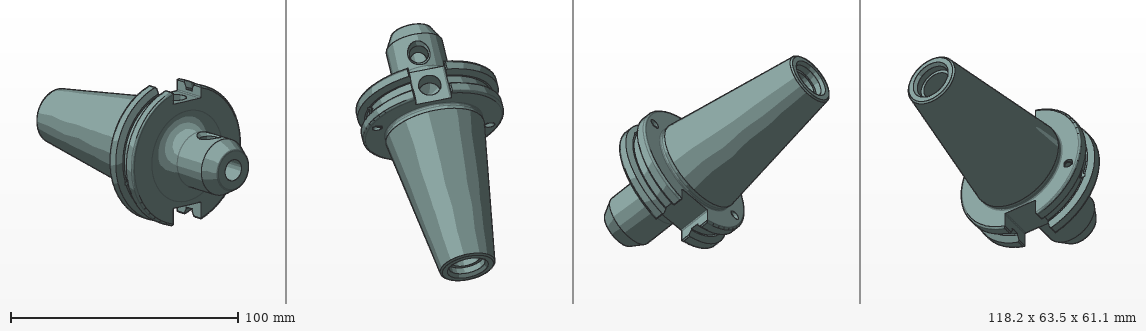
import cadquery as cq
import math

TAPER_LENGTH = 68.2
NECK_START = 70.0
FLANGE_START = 71.3
FLANGE_END = 87.3
NOSE_START = 111.4
TOTAL_LENGTH = 118.2

TAPER_RADIUS = 22.2
TAPER_SLOPE = 7 / 48
NECK_RADIUS = 43.6 / 2
NECK_FILLET = 0.4
FLANGE_RADIUS = 63.5 / 2
FLANGE_ROUND = 1.0
SHANK_RADIUS = 25.4 / 2
SHANK_FILLET = 7.9
NOSE_TIP_RADIUS = 9.1
NOSE_ROUND = 0.6
SMALL_END_CHAMFER = 0.7

GROOVE_CENTER = 79.3
GROOVE_FLOOR_WIDTH = 3.9
GROOVE_TOP_WIDTH = 7.1
GROOVE_RADIUS = 28.1
GROOVE_FLANK_ANGLE = 30

SLOT_WIDTH = 16.1
SLOT_FLOOR_TOP = 25.1
SLOT_FLOOR_BOTTOM = 22.6
SLOT_CORNER_ROUND = 0.5
SLOT_RIM_FLARE = 0.6

POCKET_DIAMETER = 9.8
POCKET_DEPTH = 7.7
DRILL_POINT_HALF_ANGLE = 59

MOUTH_RADIUS = 18.5 / 2
MOUTH_DEPTH = 1.7
COUNTERBORE_RADIUS = 16.3 / 2
COUNTERBORE_DEPTH = 4.6
THREAD_BORE_RADIUS = 13.4 / 2
THREAD_BORE_DEPTH = 35.5
THROUGH_RADIUS = 9.6 / 2

SCREW_X = 102.0
SCREW_DIAMETER = 8.4
SCREW_MOUTH_DIAMETER = 11.8

DUCT_TURN = 20
DUCT_RADIUS_AT_FACE = 27.0
DUCT_TILT = 30
DUCT_DIAMETER = 3.2
DUCT_MOUTH_DIAMETER = 4.0
DUCT_MOUTH_DEPTH = 1.9
CROSS_MOUTH_DIAMETER = 4.3
CROSS_MOUTH_DEPTH = 1.0
CROSS_HOLE_DIAMETER = 3.2


def rod(start, direction, length, diameter):
    """Cylinder running from a start point along a direction."""
    cylinder = cq.Solid.makeCylinder(diameter / 2, length, cq.Vector(*start), cq.Vector(*direction))
    return cq.Workplane(obj=cylinder)


def revolve_about_x(profile):
    """Close an XY profile and spin it once around the X axis."""
    return profile.close().revolve(360, (0, 0, 0), (1, 0, 0))


def drill_point_length(radius):
    """Axial length of a drilled cone over a radius step."""
    return radius / math.tan(math.radians(DRILL_POINT_HALF_ANGLE))


def taper_and_shank():
    small_end_radius = TAPER_RADIUS - TAPER_SLOPE * TAPER_LENGTH
    arc_inset = 1 - math.sqrt(0.5)
    neck_inset = NECK_FILLET * arc_inset
    shank_inset = SHANK_FILLET * arc_inset
    profile = (
        cq.Workplane("XY")
        .lineTo(0, small_end_radius - SMALL_END_CHAMFER)
        .lineTo(SMALL_END_CHAMFER, small_end_radius + TAPER_SLOPE * SMALL_END_CHAMFER)
        .lineTo(TAPER_LENGTH, TAPER_RADIUS)
        .lineTo(NECK_START, NECK_RADIUS)
        .lineTo(FLANGE_START - NECK_FILLET, NECK_RADIUS)
        .threePointArc(
            (FLANGE_START - neck_inset, NECK_RADIUS + neck_inset),
            (FLANGE_START, NECK_RADIUS + NECK_FILLET),
        )
        .lineTo(FLANGE_END, NECK_RADIUS + NECK_FILLET)
        .lineTo(FLANGE_END, SHANK_RADIUS + SHANK_FILLET)
        .threePointArc(
            (FLANGE_END + shank_inset, SHANK_RADIUS + shank_inset),
            (FLANGE_END + SHANK_FILLET, SHANK_RADIUS),
        )
        .lineTo(NOSE_START, SHANK_RADIUS)
        .lineTo(TOTAL_LENGTH, NOSE_TIP_RADIUS)
        .lineTo(TOTAL_LENGTH, 0)
    )
    return revolve_about_x(profile).faces(">X").edges().fillet(NOSE_ROUND)


def grooved_flange():
    disc = rod((FLANGE_START, 0, 0), (1, 0, 0), FLANGE_END - FLANGE_START, 2 * FLANGE_RADIUS)
    disc = disc.edges("%CIRCLE").fillet(FLANGE_ROUND)
    half_floor = GROOVE_FLOOR_WIDTH / 2
    half_top = GROOVE_TOP_WIDTH / 2
    flank_depth = (half_top - half_floor) / math.tan(math.radians(GROOVE_FLANK_ANGLE))
    flank_foot = FLANGE_RADIUS - flank_depth
    groove = revolve_about_x(
        cq.Workplane("XY")
        .moveTo(GROOVE_CENTER - half_floor, GROOVE_RADIUS)
        .lineTo(GROOVE_CENTER - half_floor, flank_foot)
        .lineTo(GROOVE_CENTER - half_top, FLANGE_RADIUS)
        .lineTo(GROOVE_CENTER + half_top, FLANGE_RADIUS)
        .lineTo(GROOVE_CENTER + half_floor, flank_foot)
        .lineTo(GROOVE_CENTER + half_floor, GROOVE_RADIUS)
    )
    return disc.cut(groove)


def drive_slot(floor_height):
    """Upward slot cutter with rounded floor corners and walls flared at the rim."""
    half_width = SLOT_WIDTH / 2
    flared = half_width + SLOT_RIM_FLARE
    rim_height = math.sqrt(FLANGE_RADIUS ** 2 - flared ** 2)
    return (
        cq.Workplane("YZ", origin=(FLANGE_START, 0, 0))
        .moveTo(-half_width, floor_height)
        .lineTo(half_width, floor_height)
        .lineTo(half_width, rim_height - SLOT_RIM_FLARE)
        .lineTo(flared, rim_height)
        .lineTo(flared, FLANGE_RADIUS)
        .lineTo(-flared, FLANGE_RADIUS)
        .lineTo(-flared, rim_height)
        .lineTo(-half_width, rim_height - SLOT_RIM_FLARE)
        .close()
        .extrude(FLANGE_END - FLANGE_START)
        .faces("<Z").edges("|X").fillet(SLOT_CORNER_ROUND)
    )


def slot_pocket():
    radius = POCKET_DIAMETER / 2
    floor = SLOT_FLOOR_TOP - POCKET_DEPTH
    profile = (
        cq.Workplane("XZ")
        .moveTo(0, SLOT_FLOOR_TOP)
        .lineTo(radius, SLOT_FLOOR_TOP)
        .lineTo(radius, floor)
        .lineTo(0, floor - drill_point_length(radius))
        .close()
    )
    return profile.revolve(360, (0, 0, 0), (0, 1, 0)).translate((GROOVE_CENTER, 0, 0))


def stepped_bore():
    point = drill_point_length(THREAD_BORE_RADIUS - THROUGH_RADIUS)
    return revolve_about_x(
        cq.Workplane("XY")
        .lineTo(0, MOUTH_RADIUS)
        .lineTo(MOUTH_DEPTH, COUNTERBORE_RADIUS)
        .lineTo(COUNTERBORE_DEPTH, COUNTERBORE_RADIUS)
        .lineTo(COUNTERBORE_DEPTH, THREAD_BORE_RADIUS)
        .lineTo(THREAD_BORE_DEPTH, THREAD_BORE_RADIUS)
        .lineTo(THREAD_BORE_DEPTH + point, THROUGH_RADIUS)
        .lineTo(TOTAL_LENGTH, THROUGH_RADIUS)
        .lineTo(TOTAL_LENGTH, 0)
    )


def set_screw_hole():
    hole = rod((SCREW_X, 0, 0), (0, 0, 1), SHANK_RADIUS, SCREW_DIAMETER)
    mouth_radius = SCREW_MOUTH_DIAMETER / 2
    mouth_center = cq.Vector(SCREW_X, 0, SHANK_RADIUS)
    cone = cq.Solid.makeCone(mouth_radius, 0, mouth_radius, mouth_center, cq.Vector(0, 0, -1))
    return hole.union(cq.Workplane(obj=cone))


def coolant_duct(turn):
    """Duct cutter drawn in the XY plane on the +Y side, then turned about X."""
    tilt = math.radians(DUCT_TILT)
    inward = (math.cos(tilt), -math.sin(tilt), 0)
    face_center = (FLANGE_START, DUCT_RADIUS_AT_FACE, 0)
    duct_length = (GROOVE_CENTER - FLANGE_START) / math.cos(tilt)
    duct = rod(face_center, inward, duct_length, DUCT_DIAMETER)

    mouth_start = tuple(c - DUCT_MOUTH_DIAMETER * d for c, d in zip(face_center, inward))
    mouth_length = DUCT_MOUTH_DIAMETER + DUCT_MOUTH_DEPTH
    mouth = rod(mouth_start, inward, mouth_length, DUCT_MOUTH_DIAMETER)

    rim = (GROOVE_CENTER, FLANGE_RADIUS, 0)
    cross_hole = rod(rim, (0, -1, 0), FLANGE_RADIUS, CROSS_HOLE_DIAMETER)
    cross_mouth_length = FLANGE_RADIUS - GROOVE_RADIUS + CROSS_MOUTH_DEPTH
    cross_mouth = rod(rim, (0, -1, 0), cross_mouth_length, CROSS_MOUTH_DIAMETER)
    cutter = duct.union(mouth).union(cross_hole).union(cross_mouth)
    return cutter.rotate((0, 0, 0), (1, 0, 0), turn)


flange = grooved_flange().cut(drive_slot(SLOT_FLOOR_TOP))
flange = flange.cut(drive_slot(SLOT_FLOOR_BOTTOM).rotate((0, 0, 0), (1, 0, 0), 180))

result = taper_and_shank().union(flange)
result = result.cut(stepped_bore()).cut(slot_pocket()).cut(set_screw_hole())
for turn in (DUCT_TURN, DUCT_TURN + 180):
    result = result.cut(coolant_duct(turn))